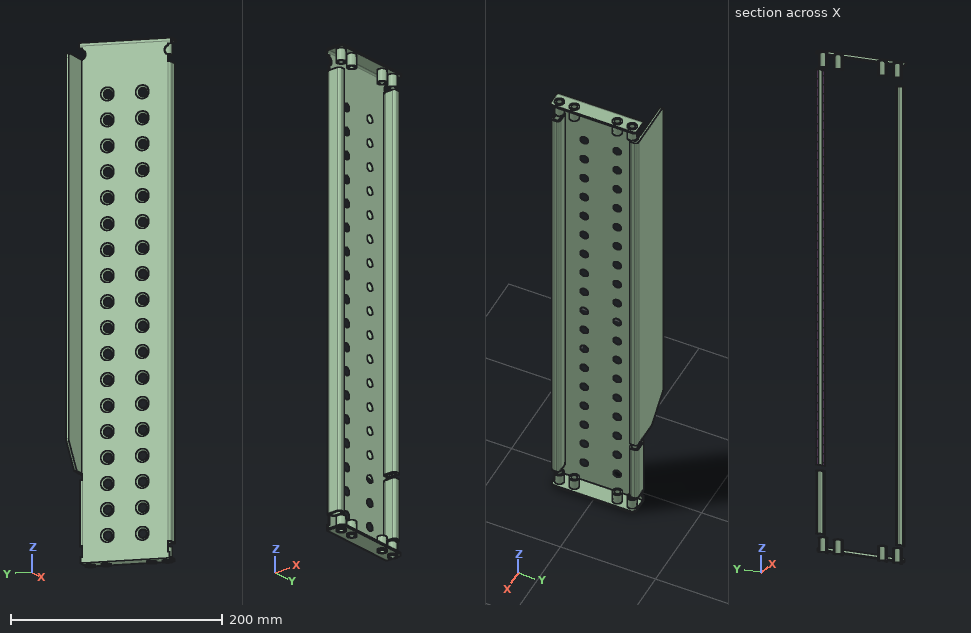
import cadquery as cq

total_height = 503.0
total_width = 91.0
half_width = total_width / 2
sheet = 1.75
bend_radius = 3.0
top_bend_radius = 3.5

wall_depth = 16.5
fold_width = 9.0
wall_bottom = 18.0
wall_top = 480.0
short_wall_top = 81.5

top_flange_depth = 19.5
bottom_flange_depth = 20.0
bottom_flange_width = 88.5
flange_bottom = 1.5
flange_band = 6.0
top_corner_radius = 3.0
bottom_corner_radius = 4.5

relief_radius = 4.5
relief_y = 44.0
relief_z = 491.0

hole_rows = 18
hole_span = 425.0
hole_first_z = 26.5
hole_spacing_y = 34.5
hole_diameter = 8.0
countersink_diameter = 13.0

plate_sheet = 2.75
plate_reach = 40.5
plate_bottom = 87.5
plate_top = 486.0
plate_chamfer = 25.0
plate_corner_radius = 4.5

nut_diameter = 9.5
nut_bore = 6.0
nut_length = 14.5
nut_x = 12.5
nut_outer_y = 38.0
nut_inner_y = 22.5
nut_places_y = [-nut_outer_y, -nut_inner_y, nut_inner_y, nut_outer_y]
nut_bottoms = [0, total_height - nut_length]

web_edge = half_width - bend_radius


def box(x0, x1, y0, y1, z0, z1):
    """Box between two opposite corners."""
    return cq.Workplane("XY").box(x1 - x0, y1 - y0, z1 - z0, centered=False).translate((x0, y0, z0))


def rounded_channel(front, y0, y1, closed_side, metal, bottom, top):
    """Upright channel from front to the rear of the fold, closed and rounded on one Y side."""
    outside = box(front, wall_depth, y0, y1, bottom, top)
    outside = outside.edges(f"|Z and {closed_side}").fillet(bend_radius)
    floor_y0 = y0 + metal if closed_side == "<Y" else y0
    floor_y1 = y1 - metal if closed_side == ">Y" else y1
    inside = box(front + metal, wall_depth - metal, floor_y0, floor_y1, bottom, top)
    return outside.cut(inside.edges(f"|Z and {closed_side}").fillet(bend_radius - metal))


def folded_wall(metal, bottom, top):
    """+Y wall bent from the web, across the rear and back to a foot on the web."""
    fold_y = half_width - fold_width
    middle_y = half_width - fold_width / 2
    wall = rounded_channel(0, middle_y, half_width, ">Y", metal, bottom, top)
    return wall.union(rounded_channel(sheet, fold_y, middle_y, "<Y", metal, bottom, top))


def top_flange():
    """Top flange, its bend and the wide band of web below it."""
    flange = box(0, top_flange_depth, -half_width, half_width, total_height - flange_band, total_height)
    flange = flange.edges("|Z and >X").fillet(top_corner_radius)
    flange = flange.edges("<X and >Z").fillet(top_bend_radius)
    inside = box(sheet, top_flange_depth, -half_width, half_width, 0, total_height - sheet)
    return flange.cut(inside.edges("<X and >Z").fillet(top_bend_radius - sheet))


def bottom_flange():
    """Bottom flange with a square outer corner and the wide band of web above it."""
    half = bottom_flange_width / 2
    flange = box(0, bottom_flange_depth, -half, half, flange_bottom, flange_bottom + flange_band)
    flange = flange.edges("|Z and >X").fillet(bottom_corner_radius)
    return flange.cut(box(sheet, bottom_flange_depth, -half, half, flange_bottom + sheet, total_height))


def web_holes():
    """Cutter for the two columns of countersunk holes, wide on the outer face."""
    pitch = hole_span / (hole_rows - 1)
    cone = cq.Solid.makeCone(
        countersink_diameter / 2, hole_diameter / 2, sheet, cq.Vector(0, 0, 0), cq.Vector(1, 0, 0)
    )
    places = [
        cq.Location(cq.Vector(0, side * hole_spacing_y / 2, hole_first_z + row * pitch))
        for row in range(hole_rows)
        for side in (-1, 1)
    ]
    return cq.Compound.makeCompound([cone.moved(place) for place in places])


def nut_cylinders(diameter, bottom):
    """One row of upright cylinders at the nut places."""
    points = [(nut_x, y) for y in nut_places_y]
    return cq.Workplane("XY").workplane(offset=bottom).pushPoints(points).circle(diameter / 2).extrude(nut_length)


def make_tray():
    """Folded channel: web, two end flanges, a long -Y wall and a short +Y wall.

    Above the short wall the web runs straight up against the side plate.
    """
    tray = box(0, sheet, -web_edge, web_edge, flange_bottom, total_height - top_bend_radius)
    tray = tray.union(box(0, sheet, 0, half_width - plate_sheet, plate_bottom, plate_top))
    for side in (-1, 1):
        relief = cq.Workplane("YZ").center(side * relief_y, relief_z).circle(relief_radius).extrude(sheet)
        tray = tray.cut(relief)
    tray = tray.union(top_flange()).union(bottom_flange())
    tray = tray.union(folded_wall(sheet, wall_bottom, wall_top).mirror("XZ"))
    tray = tray.union(folded_wall(sheet, wall_bottom, short_wall_top))
    tray = tray.cut(web_holes())
    for bottom in nut_bottoms:
        tray = tray.cut(nut_cylinders(nut_diameter, bottom))
    return tray


def make_side_plate():
    """Flat plate on the +Y side; behind the web it folds like the tray walls."""
    plate = (
        cq.Workplane("XZ", origin=(0, half_width, 0))
        .moveTo(bend_radius, plate_bottom)
        .lineTo(plate_chamfer - plate_reach, plate_bottom)
        .lineTo(-plate_reach, plate_bottom + plate_chamfer)
        .lineTo(-plate_reach, plate_top)
        .lineTo(bend_radius, plate_top)
        .close()
        .extrude(plate_sheet)
    )
    plate = plate.faces("<X").edges("|Y").fillet(plate_corner_radius)
    fold = folded_wall(plate_sheet, plate_bottom, plate_top)
    web_space = box(0, sheet, 0, half_width - plate_sheet, plate_bottom, plate_top)
    bend_space = box(0, bend_radius, web_edge, half_width, plate_bottom, plate_top)
    return plate.union(fold.cut(web_space).cut(bend_space))


def make_nuts(bottom):
    """Row of round threaded nuts with plain through bores."""
    return nut_cylinders(nut_diameter, bottom).cut(nut_cylinders(nut_bore, bottom))


tray = make_tray()
side_plate = make_side_plate()
nuts = [nut for bottom in nut_bottoms for nut in make_nuts(bottom).solids().vals()]

result = cq.Compound.makeCompound([tray.val(), side_plate.val(), *nuts])